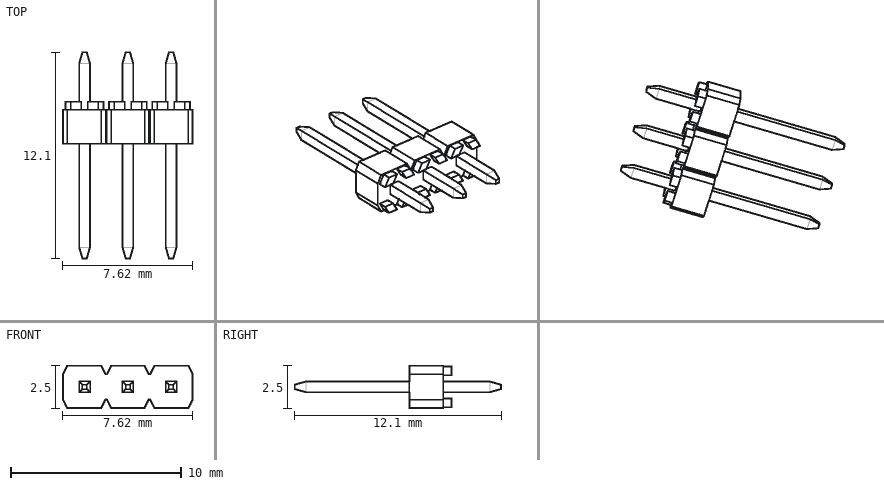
import cadquery as cq

pin_count = 3
pitch = 2.54

body_depth = 2.0
body_height = 2.5
chamfer_width = 0.25
chamfer_height = 0.5
notch_floor_width = 0.08

pin_size = 0.64
tip_size = 0.26
tip_length = 0.66
pin_length = 12.12
front_pin_length = 6.74

rib_depth = 0.48
rib_top = 1.21
rib_height = 0.54
rib_inner_edge = 0.19
rib_width = 0.62
rib_slant = 0.31

front_face_y = -body_depth / 2
rear_face_y = body_depth / 2
pin_front_y = front_face_y - front_pin_length
pin_rear_y = pin_front_y + pin_length
pin_positions = [(i - (pin_count - 1) / 2) * pitch for i in range(pin_count)]


def extrude_along_y(outline, start_y, depth):
    """Prism with a closed (x, z) outline, running from start_y toward +Y."""
    plane = cq.Workplane("XZ", origin=(0, start_y, 0))
    return plane.polyline(outline).close().extrude(-depth)


def make_body():
    """Block with chamfered ends and a V-notch between neighbouring pins."""
    half_height = body_height / 2
    half_length = pin_count * pitch / 2
    body = cq.Workplane("XY").box(2 * half_length, body_depth, body_height)

    shoulder = half_height - chamfer_height
    half_floor = notch_floor_width / 2
    half_mouth = half_floor + chamfer_width
    for side in (1, -1):
        for end in (1, -1):
            corner = [
                (end * half_length, side * shoulder),
                (end * half_length, side * half_height),
                (end * (half_length - chamfer_width), side * half_height),
            ]
            body = body.cut(extrude_along_y(corner, front_face_y, body_depth))
        for left_pin_x in pin_positions[:-1]:
            notch_x = left_pin_x + pitch / 2
            notch = [
                (notch_x - half_floor, side * shoulder),
                (notch_x + half_floor, side * shoulder),
                (notch_x + half_mouth, side * half_height),
                (notch_x - half_mouth, side * half_height),
            ]
            body = body.cut(extrude_along_y(notch, front_face_y, body_depth))
    return body


def make_tip(pin_x, base_y, end_y):
    """Tapered tip narrowing from the full pin section at base_y to end_y."""
    plane = cq.Workplane("XZ", origin=(pin_x, base_y, 0))
    base = plane.rect(pin_size, pin_size)
    return base.workplane(offset=base_y - end_y).rect(tip_size, tip_size).loft(combine=True)


def make_pin(pin_x):
    """Square pin with a tapered tip at both ends."""
    shank_front_y = pin_front_y + tip_length
    shank_rear_y = pin_rear_y - tip_length
    shank_plane = cq.Workplane("XZ", origin=(pin_x, shank_front_y, 0))
    shank = shank_plane.rect(pin_size, pin_size).extrude(shank_front_y - shank_rear_y)
    front_tip = make_tip(pin_x, shank_front_y, pin_front_y)
    rear_tip = make_tip(pin_x, shank_rear_y, pin_rear_y)
    return shank.union(front_tip).union(rear_tip)


def make_rib(pin_x, x_side, z_side):
    """Parallelogram rib that leans outward toward the middle height of the body."""
    rib_bottom = rib_top - rib_height
    rib_outer_edge = rib_inner_edge + rib_width
    outline = [
        (pin_x + x_side * rib_inner_edge, z_side * rib_top),
        (pin_x + x_side * rib_outer_edge, z_side * rib_top),
        (pin_x + x_side * (rib_outer_edge + rib_slant), z_side * rib_bottom),
        (pin_x + x_side * (rib_inner_edge + rib_slant), z_side * rib_bottom),
    ]
    return extrude_along_y(outline, rear_face_y, rib_depth)


result = make_body()
for pin_x in pin_positions:
    result = result.union(make_pin(pin_x))
    for x_side in (1, -1):
        for z_side in (1, -1):
            result = result.union(make_rib(pin_x, x_side, z_side))